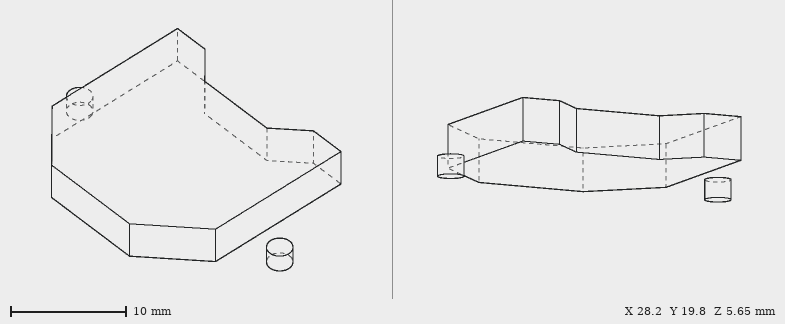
import cadquery as cq

overall_width = 28.2
overall_height = 5.65

plate_width = 21.15
plate_depth = 19.8
plate_thickness = 3.85
front_edge_width = 10.1
front_corner_depth = 5.08
notch_mouth_width = 14.02
notch_floor_width = 8.05
notch_depth = 2.75

pin_diameter = 2.3
pin_height = overall_height - plate_thickness
pin_spacing = overall_width - pin_diameter
pin_to_back_edge = 9.33

back_y = pin_to_back_edge
front_y = back_y - plate_depth


def make_plate():
    """Flat plate with cut front corners and a tapered notch in the back edge."""
    right_side = [
        (front_edge_width / 2, front_y),
        (plate_width / 2, front_y + front_corner_depth),
        (plate_width / 2, back_y),
        (notch_mouth_width / 2, back_y),
        (notch_floor_width / 2, back_y - notch_depth),
    ]
    left_side = [(-x, y) for x, y in reversed(right_side)]
    return cq.Workplane("XY").polyline(right_side + left_side).close().extrude(plate_thickness)


def make_pin(x):
    """Round pin reaching down from the plane of the plate's underside."""
    return cq.Workplane("XY").center(x, 0).circle(pin_diameter / 2).extrude(-pin_height)


plate = make_plate()
pins = [make_pin(side * pin_spacing / 2) for side in (-1, 1)]

result = cq.Compound.makeCompound([plate.val(), *[pin.val() for pin in pins]])